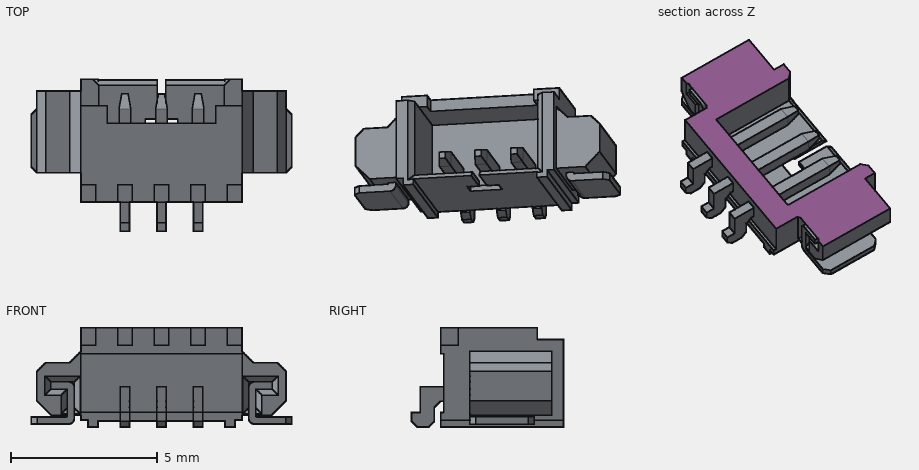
import cadquery as cq


body_width = 5.5
body_depth = 4.2
body_top = 3.4
body_bottom = 0.2
edge_bottom = 0.24
rail_width = 0.35
rail_outer_x = 2.51
half_width = body_width / 2

recess_depth = 0.1
recess_bottom = 0.5
recess_top = 2.5
notch_width = 0.5
notch_size = 0.6

cavity_half_width = 2.15
cavity_floor = 0.38
cavity_top = 3.0
cavity_back = 1.0
entry_chamfer = 0.2
front_step_y = 3.3
roof_slot_half_width = 1.86
roof_slot_back = 2.7
key_slot_width = 0.28
window_width = 1.1
window_back = 2.3
window_front = 2.84

pitch = 1.25
contact_positions = [-pitch, 0, pitch]
tail_width = 0.32
tail_drop_y = -0.7
tail_toe_y = -1.0
tail_inner_y = -0.21
tail_chamfer = 0.2
tail_toe_height = 0.5
contact_width = 0.4
contact_bottom = 0.88
contact_top = 1.38
contact_shoulder_y = 3.19
contact_tip_y = 3.7
contact_tip_size = 0.22

wing_back = 1.0
wing_front = 3.8
wing_bottom = 0.4
wing_top = 2.2
wing_outer_x = 4.26
wing_top_chamfer = 0.3
wing_bottom_chamfer = 0.5
wing_web_leg = 0.39

clip_front = 3.2
clip_thickness = 0.25
clip_leg_x = 2.975
clip_arm_x = 3.78
clip_top = 1.545
clip_bottom = 0.1
clip_pad_x = 4.45
clip_outer_radius = 0.2
clip_inner_radius = 0.05
pad_chamfer = 0.2

pocket_flare = 0.2
pocket_bottom = 0.45


def box(x0, x1, y0, y1, z0, z1):
    return cq.Workplane("XY").box(x1 - x0, y1 - y0, z1 - z0, centered=False).translate((x0, y0, z0))


def centered_box(width, x, y0, y1, z0, z1):
    return box(x - width / 2, x + width / 2, y0, y1, z0, z1)


def prism_along_y(points, y0, y1):
    """Extrude an (x, z) outline from y0 to y1."""
    return cq.Workplane("XZ", origin=(0, y0, 0)).polyline(points).close().extrude(y0 - y1)


def housing_block():
    block = centered_box(body_width, 0, 0, body_depth, body_bottom, body_top)
    for side in (-1, 1):
        rail_x = side * (rail_outer_x - rail_width / 2)
        edge_width = half_width - rail_outer_x
        edge_x = side * (rail_outer_x + edge_width / 2)
        block = block.union(centered_box(rail_width, rail_x, 0, body_depth, 0, edge_bottom))
        block = block.cut(centered_box(edge_width, edge_x, 0, body_depth, 0, edge_bottom))
    block = block.cut(centered_box(body_width, 0, 0, recess_depth, recess_bottom, recess_top))
    corner_x = half_width - notch_width / 2
    for x in [-corner_x, *contact_positions, corner_x]:
        block = block.cut(centered_box(notch_width, x, 0, notch_size, body_top - notch_size, body_top))
    return block


def mating_cavity():
    cavity_height = cavity_top - cavity_floor
    cavity = centered_box(2 * cavity_half_width, 0, cavity_back, body_depth, cavity_floor, cavity_top)
    flare = (
        cq.Workplane("XZ", origin=(0, body_depth, (cavity_floor + cavity_top) / 2))
        .rect(2 * (cavity_half_width + entry_chamfer), cavity_height + 2 * entry_chamfer)
        .extrude(entry_chamfer, taper=45)
    )
    front_step = centered_box(body_width, 0, front_step_y, body_depth, cavity_top, body_top)
    roof_slot = centered_box(
        2 * roof_slot_half_width, 0, roof_slot_back, body_depth, cavity_top, body_top
    )
    key_slot = centered_box(key_slot_width, 0, window_back, body_depth, 0, cavity_floor)
    window = centered_box(window_width, 0, window_back, window_front, 0, cavity_floor)
    return cavity.union(flare).union(front_step).union(roof_slot).union(key_slot).union(window)


def contact(x):
    height = contact_top - contact_bottom
    middle_z = (contact_top + contact_bottom) / 2
    blade = centered_box(
        contact_width, x, recess_depth, contact_shoulder_y, contact_bottom, contact_top
    )
    tip = (
        cq.Workplane("XZ", origin=(x, contact_shoulder_y, middle_z))
        .rect(contact_width, height)
        .workplane(offset=contact_shoulder_y - contact_tip_y)
        .rect(contact_tip_size, contact_tip_size)
        .loft(ruled=True)
    )
    tail_outline = [
        (cavity_back, contact_top),
        (tail_drop_y, contact_top),
        (tail_drop_y, tail_toe_height),
        (tail_toe_y, tail_toe_height),
        (tail_toe_y, tail_chamfer),
        (tail_toe_y + tail_chamfer, 0),
        (tail_inner_y - tail_chamfer, 0),
        (tail_inner_y, tail_chamfer),
        (tail_inner_y, contact_bottom + tail_inner_y),
        (0, contact_bottom),
        (cavity_back, contact_bottom),
    ]
    tail = (
        cq.Workplane("YZ", origin=(x, 0, 0))
        .polyline(tail_outline)
        .close()
        .extrude(tail_width / 2, both=True)
    )
    return blade.union(tip).union(tail)


def right_wing():
    outline = [
        (half_width, wing_bottom),
        (wing_outer_x - wing_bottom_chamfer, wing_bottom),
        (wing_outer_x, wing_bottom + wing_bottom_chamfer),
        (wing_outer_x, wing_top - wing_top_chamfer),
        (wing_outer_x - wing_top_chamfer, wing_top),
        (half_width + wing_web_leg, wing_top),
        (half_width, wing_top + wing_web_leg),
    ]
    return prism_along_y(outline, wing_back, wing_front)


def pocket_outline(flare):
    """The clip's upper L outline grown outward by the flare."""
    inner_x = clip_leg_x - flare
    leg_outer_x = clip_leg_x + clip_thickness + flare
    arm_outer_x = clip_arm_x + flare
    top = clip_top + flare
    arm_bottom = clip_top - clip_thickness - flare
    bottom = pocket_bottom + pocket_flare - flare
    return [
        (inner_x, top),
        (arm_outer_x, top),
        (arm_outer_x, arm_bottom),
        (leg_outer_x, arm_bottom),
        (leg_outer_x, bottom),
        (inner_x, bottom),
    ]


def right_pocket():
    """Mitred pocket that narrows at 45 degrees down to the clip's own outline."""
    return (
        cq.Workplane("XZ", origin=(0, wing_back, 0))
        .polyline(pocket_outline(pocket_flare))
        .close()
        .workplane(offset=-pocket_flare)
        .polyline(pocket_outline(0))
        .close()
        .loft(ruled=True)
    )


def right_clip():
    """Bent strip: arm inside the wing, leg down through its floor, solder pad outward."""
    leg_outer_x = clip_leg_x + clip_thickness
    arm_bottom = clip_top - clip_thickness
    pad_top = clip_bottom + clip_thickness
    outline = [
        (clip_leg_x, clip_top),
        (clip_arm_x, clip_top),
        (clip_arm_x, arm_bottom),
        (leg_outer_x, arm_bottom),
        (leg_outer_x, pad_top),
        (clip_pad_x, pad_top),
        (clip_pad_x, clip_bottom),
        (clip_leg_x, clip_bottom),
    ]
    clip = prism_along_y(outline, wing_back, clip_front)
    clip = clip.faces("<X").edges("|Y").fillet(clip_outer_radius)
    inner_bend = cq.selectors.NearestToPointSelector(
        (leg_outer_x, (wing_back + clip_front) / 2, pad_top)
    )
    clip = clip.edges(inner_bend).fillet(clip_inner_radius)
    return clip.faces(">X").edges("|Z").chamfer(pad_chamfer)


right_side = right_wing().cut(right_pocket()).union(right_clip())
left_side = right_side.mirror("YZ")

result = housing_block().cut(mating_cavity()).union(right_side).union(left_side)
for contact_x in contact_positions:
    result = result.union(contact(contact_x))